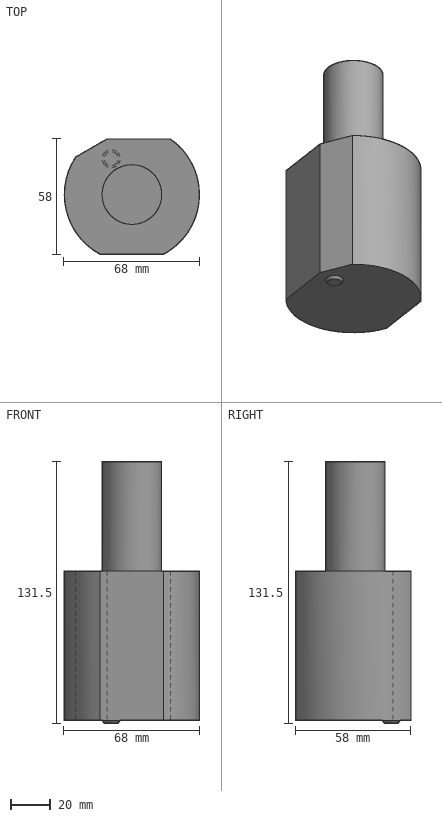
import cadquery as cq
import math

body_radius = 34.0
body_height = 75.0
front_flat_distance = 30.0
rear_flat_distance = 28.0
angled_flat_distance = 30.5
key_direction = 120.0

shank_diameter = 30.0
shank_length = 55.0

button_base_diameter = 9.0
button_height = 1.5
button_tip_diameter = 7.0
button_offset = 20.8


def flat_cutter(distance, direction):
    """Block whose inner face lies at a distance from the axis, facing the given direction."""
    block_size = 2 * body_radius
    return (
        cq.Workplane("XY")
        .box(block_size, block_size, body_height, centered=(False, True, False))
        .translate((distance, 0, 0))
        .rotate((0, 0, 0), (0, 0, 1), direction)
    )


def make_body():
    body = cq.Workplane("XY").circle(body_radius).extrude(body_height)
    flats = [
        (front_flat_distance, -90.0),
        (rear_flat_distance, 90.0),
        (angled_flat_distance, key_direction),
    ]
    for distance, direction in flats:
        body = body.cut(flat_cutter(distance, direction))
    return body


def make_shank():
    return (
        cq.Workplane("XY")
        .workplane(offset=body_height)
        .circle(shank_diameter / 2)
        .extrude(shank_length)
    )


def make_button():
    """Short cone frustum below the body, wide end against the body."""
    angle = math.radians(key_direction)
    side_slope = (button_base_diameter - button_tip_diameter) / 2 / button_height
    return (
        cq.Workplane("XY")
        .center(button_offset * math.cos(angle), button_offset * math.sin(angle))
        .circle(button_base_diameter / 2)
        .extrude(-button_height, taper=math.degrees(math.atan(side_slope)))
    )


result = make_body().union(make_shank()).union(make_button())